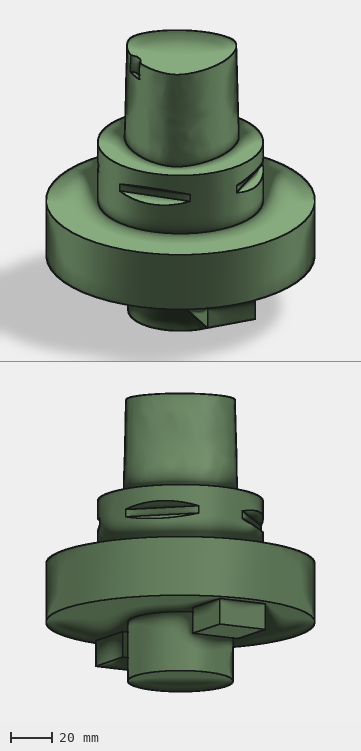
import cadquery as cq
import math

total_height = 137.0
tenon_bottom = 16.5
flange_bottom = 29.0
flange_top = 58.0
collar_top = 88.8

stub_diameter = 50.8
flange_diameter = 130.0
collar_diameter = 80.0

tenon_width = 25.3
tenon_inner = 33.2
tenon_outer = 58.9

shank_base_radius = 27.7
shank_taper = 1 / 20
lobe_eccentricity = 2.0
outline_points = 72

notch_radius = 7.0
notch_floor_y = -21.9
notch_height = 8.6

slot_count = 4
slot_center_z = 76.7
slot_flat_distance = 35.6
slot_floor_width = 3.5
slot_flank_angle = 30.0


def cylinder(diameter, bottom, top):
    return cq.Workplane("XY").workplane(offset=bottom).circle(diameter / 2).extrude(top - bottom)


def lobed_outline(mean_radius):
    """Points of a constant-width three-lobed trochoid with one lobe towards +Y."""
    points = []
    for i in range(outline_points):
        angle = 2 * math.pi * i / outline_points
        along = (
            mean_radius * math.cos(angle)
            + lobe_eccentricity * (2 * math.cos(2 * angle) - math.cos(4 * angle))
        )
        across = (
            mean_radius * math.sin(angle)
            - lobe_eccentricity * (2 * math.sin(2 * angle) + math.sin(4 * angle))
        )
        points.append((-across, along))
    return points


def shank():
    height = total_height - collar_top
    top_radius = shank_base_radius - height * shank_taper / 2
    return (
        cq.Workplane("XY")
        .workplane(offset=collar_top)
        .spline(lobed_outline(shank_base_radius), periodic=True)
        .close()
        .workplane(offset=height)
        .spline(lobed_outline(top_radius), periodic=True)
        .close()
        .loft(ruled=True, combine=True)
    )


def orientation_notch():
    return (
        cq.Workplane("XY")
        .workplane(offset=total_height - notch_height)
        .center(0, notch_floor_y - notch_radius)
        .circle(notch_radius)
        .extrude(notch_height)
    )


def gripper_slot(direction):
    """Straight trapezoidal cutter, open outwards, facing the given angle in the XY plane."""
    mouth_distance = collar_diameter / 2
    flank_rise = (mouth_distance - slot_flat_distance) * math.tan(math.radians(slot_flank_angle))
    floor_half = slot_floor_width / 2
    mouth_half = floor_half + flank_rise
    return (
        cq.Workplane("XZ")
        .moveTo(slot_flat_distance, slot_center_z - floor_half)
        .lineTo(mouth_distance, slot_center_z - mouth_half)
        .lineTo(mouth_distance, slot_center_z + mouth_half)
        .lineTo(slot_flat_distance, slot_center_z + floor_half)
        .close()
        .extrude(collar_diameter / 2, both=True)
        .rotate((0, 0, 0), (0, 0, 1), direction)
    )


def tenon(side):
    """Rectangular drive tenon on the +X (side = 1) or -X (side = -1) half."""
    return (
        cq.Workplane("XY")
        .workplane(offset=tenon_bottom)
        .center(side * (tenon_inner + tenon_outer) / 2, 0)
        .rect(tenon_outer - tenon_inner, tenon_width)
        .extrude(flange_bottom - tenon_bottom)
    )


collar = cylinder(collar_diameter, flange_top, collar_top)
slot_spacing = 360 / slot_count
for index in range(slot_count):
    collar = collar.cut(gripper_slot((index + 0.5) * slot_spacing))

result = cylinder(stub_diameter, 0, flange_bottom)
result = result.union(cylinder(flange_diameter, flange_bottom, flange_top))
result = result.union(collar)
result = result.union(shank().cut(orientation_notch()))
for side in (-1, 1):
    result = result.union(tenon(side))